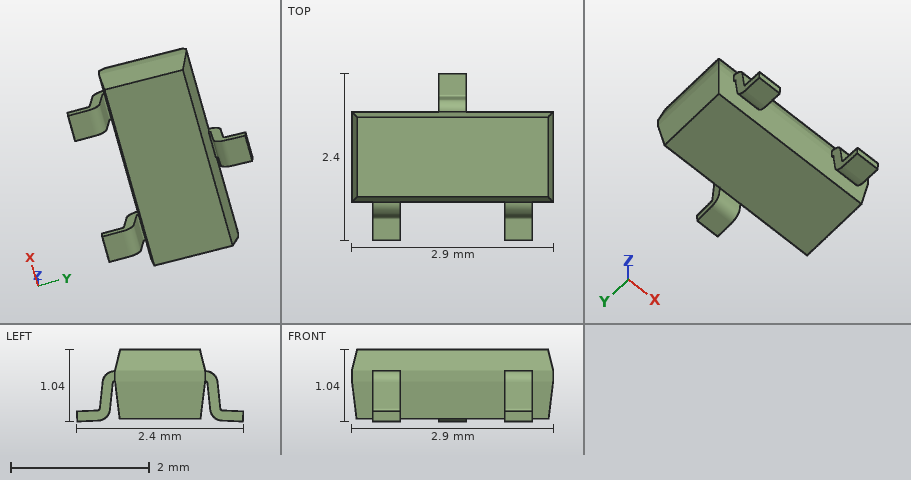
import cadquery as cq
import math

body_length = 2.9
body_width = 1.3
standoff = 0.04
total_height = 1.04
band_bottom = 0.58
band_top = 0.74
top_draft = 14.0
bottom_draft = 7.0

lead_width = 0.4
lead_pitch = 1.9
lead_span = 2.4
lead_thickness = 0.15
lead_top = 0.73
inner_radius = 0.03
outer_radius = inner_radius + lead_thickness
leg_tilt = math.radians(6.0)
foot_tilt = math.radians(2.5)
lead_embed = 0.1


def body():
    """Straight parting band with drafted blocks above and below it."""
    band = (
        cq.Workplane("XY", origin=(0, 0, band_bottom))
        .rect(body_length, body_width)
        .extrude(band_top - band_bottom)
    )
    upper = (
        cq.Workplane("XY", origin=(0, 0, band_top))
        .rect(body_length, body_width)
        .extrude(total_height - band_top, taper=top_draft)
    )
    lower = (
        cq.Workplane("XY", origin=(0, 0, band_bottom))
        .rect(body_length, body_width)
        .extrude(standoff - band_bottom, taper=bottom_draft)
    )
    return band.union(upper).union(lower)


def polar(center, radius, angle):
    """Point at a radius and angle (radians) from a centre."""
    return (
        center[0] + radius * math.cos(angle),
        center[1] + radius * math.sin(angle),
    )


def lead(x_center):
    """Lead leaving the +Y side: shoulder bend, leaning leg, ankle bend, foot sloping down to its toe."""
    up = math.pi / 2
    foot_down = -up - foot_tilt
    shoulder_mid = (leg_tilt + up) / 2
    ankle_start = leg_tilt - math.pi
    ankle_mid = (ankle_start + foot_down) / 2

    toe_bottom = (lead_span / 2 - lead_thickness * math.sin(foot_tilt), 0)
    toe_top = (lead_span / 2, lead_thickness * math.cos(foot_tilt))

    shoulder = (body_width / 2, lead_top - outer_radius)
    leg_start = polar(shoulder, outer_radius + inner_radius, leg_tilt)
    foot_end = polar(toe_bottom, outer_radius, up - foot_tilt)
    reach = foot_end[0] - leg_start[0]
    drop = leg_start[1] - foot_end[1]
    leg_length = (drop - reach * math.tan(foot_tilt)) / (
        math.cos(leg_tilt) - math.sin(leg_tilt) * math.tan(foot_tilt)
    )
    ankle = polar(leg_start, leg_length, leg_tilt - up)

    root = body_width / 2 - lead_embed
    profile = (
        cq.Workplane("YZ", origin=(x_center - lead_width / 2, 0, 0))
        .moveTo(root, lead_top)
        .lineTo(shoulder[0], lead_top)
        .threePointArc(polar(shoulder, outer_radius, shoulder_mid), polar(shoulder, outer_radius, leg_tilt))
        .lineTo(*polar(ankle, inner_radius, ankle_start))
        .threePointArc(polar(ankle, inner_radius, ankle_mid), polar(ankle, inner_radius, foot_down))
        .lineTo(*toe_top)
        .lineTo(*toe_bottom)
        .lineTo(*polar(ankle, outer_radius, foot_down))
        .threePointArc(polar(ankle, outer_radius, ankle_mid), polar(ankle, outer_radius, ankle_start))
        .lineTo(*polar(shoulder, inner_radius, leg_tilt))
        .threePointArc(polar(shoulder, inner_radius, shoulder_mid), polar(shoulder, inner_radius, up))
        .lineTo(root, lead_top - lead_thickness)
        .close()
    )
    return profile.extrude(lead_width)


result = body().union(lead(0))
for x_center in (-lead_pitch / 2, lead_pitch / 2):
    result = result.union(lead(x_center).mirror("XZ"))